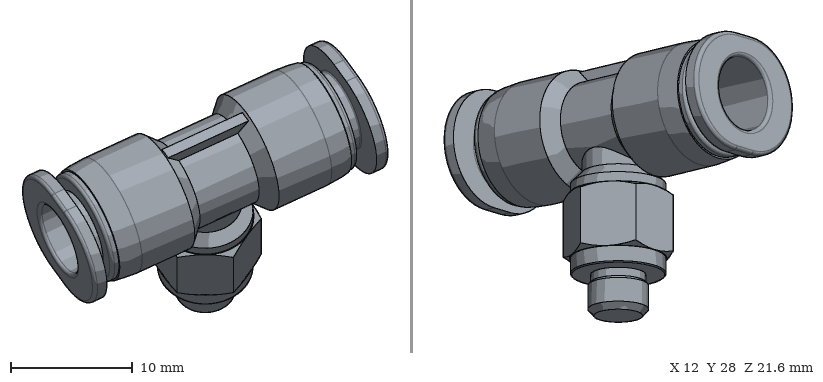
import cadquery as cq
import math


body_radius = 5.2
neck_radius = 4.0
neck_half_length = 2.8
shoulder_y = neck_half_length + body_radius - neck_radius
crown_start_y = 9.0
crown_end_y = 11.0
crown_end_radius = 5.0
lip_radius = 4.85
lip_end_y = 11.7
lip_fillet = 0.3

run_half_length = 14.0
flange_thickness = 1.2
flange_width = 12.0
flange_height = 10.0
flange_fillet = 0.3
sleeve_radius = 3.45
sleeve_root_fillet = 0.1
flange_inner_y = run_half_length - flange_thickness

socket_radius = 3.1
socket_floor_y = shoulder_y
socket_mouth_fillet = 0.3

rib_width = 1.0
rib_top_z = 5.0

stem_radius = 3.0
branch_collar_radius = 3.93
cone_bottom_z = -5.2
cone_top_z = cone_bottom_z + branch_collar_radius - stem_radius
hex_top_z = -6.0
hex_bottom_z = -11.5
hex_across_flats = 8.0
hex_sides = 6
hex_chamfer_angle = 30.0
branch_collar_bottom_z = -12.9
branch_collar_chamfer = 0.1
thread_radius = 2.5
undercut_radius = 2.27
thread_top_z = -13.6
thread_bottom_z = -16.4
thread_tip_radius = 2.0
thread_tip_height = 0.55


def spin_about_y(profile):
    """Full turn of a closed XY profile about the run axis."""
    return profile.revolve(360, (0, 0, 0), (0, 1, 0))


def spin_about_z(points):
    """Full turn of a (radius, z) outline about the branch axis."""
    return cq.Workplane("XZ").polyline(points).close().revolve(360, (0, 0, 0), (0, 1, 0))


def flared_cylinder(radius, start_y, end_y, flare):
    """Half profile of a cylinder whose +Y end flares out along a quarter arc."""
    arc_start_y = end_y - flare
    flared_radius = radius + flare
    arc_offset = flare * math.sqrt(0.5)
    return (
        cq.Workplane("XY")
        .moveTo(0, start_y)
        .lineTo(radius, start_y)
        .lineTo(radius, arc_start_y)
        .threePointArc((flared_radius - arc_offset, arc_start_y + arc_offset), (flared_radius, end_y))
        .lineTo(0, end_y)
        .close()
    )


def make_run_half():
    """Body of revolution from the centre to the +Y lip of the run."""
    crown_length = crown_end_y - crown_start_y
    crown_drop = body_radius - crown_end_radius
    crown_arc_radius = (crown_length**2 + crown_drop**2) / (2 * crown_drop)
    crown_mid_y = crown_start_y + crown_length / 2
    crown_mid_drop = crown_arc_radius - math.sqrt(crown_arc_radius**2 - (crown_length / 2) ** 2)
    profile = (
        cq.Workplane("XY")
        .moveTo(0, 0)
        .lineTo(neck_radius, 0)
        .lineTo(neck_radius, neck_half_length)
        .lineTo(body_radius, shoulder_y)
        .lineTo(body_radius, crown_start_y)
        .threePointArc((body_radius - crown_mid_drop, crown_mid_y), (crown_end_radius, crown_end_y))
        .lineTo(lip_radius, crown_end_y)
        .lineTo(lip_radius, lip_end_y)
        .lineTo(0, lip_end_y)
        .close()
    )
    return spin_about_y(profile).faces(">Y").edges().fillet(lip_fillet)


def make_release_collar():
    """Oblong flange on a round sleeve at the +Y end."""
    flange = cq.Workplane("XZ", origin=(0, run_half_length, 0)).slot2D(flange_width, flange_height)
    flange = flange.extrude(flange_thickness)
    flange = flange.faces(">Y").edges().fillet(flange_fillet)
    sleeve_profile = flared_cylinder(sleeve_radius, lip_end_y, flange_inner_y, sleeve_root_fillet)
    return flange.union(spin_about_y(sleeve_profile))


def make_socket():
    """Blind tube socket with a rounded mouth at the +Y end."""
    return spin_about_y(flared_cylinder(socket_radius, socket_floor_y, run_half_length, socket_mouth_fillet))


def mirrored_pair(half):
    """The +Y half together with its mirror image at -Y."""
    return half.union(half.mirror("XZ"))


def make_rib():
    """Flat-topped rib that spans the neck and dies into both shoulder cones."""
    return cq.Workplane("XY").rect(rib_width, 2 * shoulder_y).extrude(rib_top_z)


def make_turned_branch():
    """Round parts of the branch: stem, cone, collar, undercut and thread."""
    flank_height = thread_radius - undercut_radius
    profile = [
        (0, 0),
        (stem_radius, 0),
        (stem_radius, cone_top_z),
        (branch_collar_radius, cone_bottom_z),
        (branch_collar_radius, branch_collar_bottom_z + branch_collar_chamfer),
        (branch_collar_radius - branch_collar_chamfer, branch_collar_bottom_z),
        (undercut_radius, branch_collar_bottom_z),
        (undercut_radius, thread_top_z),
        (thread_radius, thread_top_z - flank_height),
        (thread_radius, thread_bottom_z + thread_tip_height),
        (thread_tip_radius, thread_bottom_z),
        (0, thread_bottom_z),
    ]
    return spin_about_z(profile)


def make_hex():
    """Hexagon with corners on X, both ends turned down to the inscribed circle."""
    corner_radius = hex_across_flats / 2 / math.cos(math.pi / hex_sides)
    flat_radius = hex_across_flats / 2
    chamfer_height = (corner_radius - flat_radius) * math.tan(math.radians(hex_chamfer_angle))
    prism = cq.Workplane("XY", origin=(0, 0, hex_bottom_z)).polygon(hex_sides, 2 * corner_radius)
    prism = prism.extrude(hex_top_z - hex_bottom_z)
    envelope_profile = [
        (0, hex_bottom_z),
        (flat_radius, hex_bottom_z),
        (corner_radius, hex_bottom_z + chamfer_height),
        (corner_radius, hex_top_z - chamfer_height),
        (flat_radius, hex_top_z),
        (0, hex_top_z),
    ]
    return prism.intersect(spin_about_z(envelope_profile))


run = mirrored_pair(make_run_half().union(make_release_collar()))
branch = make_turned_branch().union(make_hex())
result = run.union(make_rib()).union(branch).cut(mirrored_pair(make_socket()))